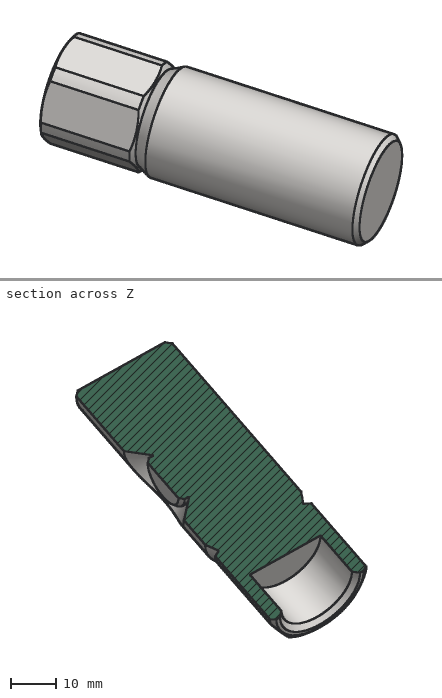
import cadquery as cq
import math

total_length = 77.4
body_radius = 13.0
end_chamfer = 1.2

hex_sides = 6
hex_length = 23.0
hex_across_flats = 24.0
hex_face_radius = 11.8
taper_slope = math.tan(math.radians(30))
neck_length = 3.0
neck_radius = 11.5

bore_radius = 9.5
bore_depth = 13.5
bore_mouth_radius = 10.8

recess_x = 46.0
recess_mouth_radius = 11.65
boss_radius = 7.0
boss_top = 10.5
boss_chamfer = 1.0


def turned_body():
    """Round bar: 30 degree tapers at both hexagon ends, conical neck, chamfered far end."""
    front_taper_length = (body_radius - hex_face_radius) * taper_slope
    back_taper_length = (body_radius - neck_radius) * taper_slope
    return (
        cq.Workplane("XY")
        .moveTo(0, 0)
        .lineTo(0, hex_face_radius)
        .lineTo(front_taper_length, body_radius)
        .lineTo(hex_length - back_taper_length, body_radius)
        .lineTo(hex_length, neck_radius)
        .lineTo(hex_length + neck_length, body_radius)
        .lineTo(total_length - end_chamfer, body_radius)
        .lineTo(total_length, body_radius - end_chamfer)
        .lineTo(total_length, 0)
        .close()
        .revolve(360, (0, 0, 0), (1, 0, 0))
    )


def hex_flat_cutter(angle):
    """Block that cuts one flat of the hexagon; angle is measured about X from +Z."""
    flat_distance = hex_across_flats / 2
    block_width = 2 * body_radius
    return (
        cq.Workplane("XY", origin=(0, 0, flat_distance))
        .rect(hex_length, block_width)
        .extrude(body_radius)
        .translate((hex_length / 2, 0, 0))
        .rotate((0, 0, 0), (1, 0, 0), angle)
    )


def bore_cutter():
    """Blind bore with a 45 degree lead-in."""
    lead_in = bore_mouth_radius - bore_radius
    return (
        cq.Workplane("XY")
        .moveTo(0, 0)
        .lineTo(0, bore_mouth_radius)
        .lineTo(lead_in, bore_radius)
        .lineTo(bore_depth, bore_radius)
        .lineTo(bore_depth, 0)
        .close()
        .revolve(360, (0, 0, 0), (1, 0, 0))
    )


def recess_cutter():
    """45 degree cone sunk down to the foot of the boss, leaving the boss standing."""
    boss_foot = body_radius - (recess_mouth_radius - boss_radius)
    boss_top_radius = boss_radius - boss_chamfer
    return (
        cq.Workplane("XY")
        .moveTo(0, boss_top)
        .lineTo(boss_top_radius, boss_top)
        .lineTo(boss_radius, boss_top - boss_chamfer)
        .lineTo(boss_radius, boss_foot)
        .lineTo(recess_mouth_radius, body_radius)
        .lineTo(0, body_radius)
        .close()
        .revolve(360, (0, 0, 0), (0, 1, 0))
        .translate((recess_x, 0, 0))
    )


result = turned_body()
for flat in range(hex_sides):
    result = result.cut(hex_flat_cutter(flat * 360 / hex_sides))
result = result.cut(bore_cutter()).cut(recess_cutter())